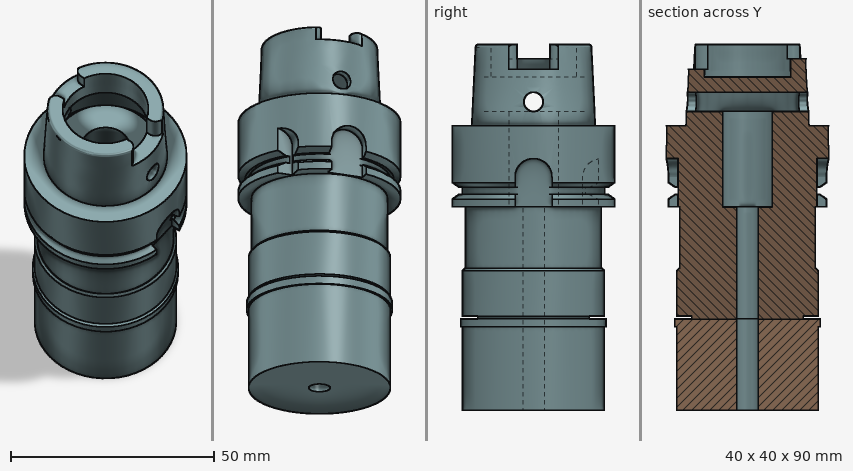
import cadquery as cq
import math

TOTAL_LENGTH = 90.0
COVER_TOP = 22.5
NECK_TOP = 23.2
COLLAR_TOP = 35.0
FLANGE_BOTTOM = 50.0
FLANGE_TOP = 70.0

SLEEVE_RADIUS = 17.5
COVER_RING_RADIUS = 17.9
COVER_RING_HEIGHT = 2.0

NECK_RADIUS = 13.8
SHAFT_RADIUS = 16.7
COLLAR_CHAMFER = 0.6
FLANGE_RADIUS = 20.0
TAPER_BASE_RADIUS = 15.2
TAPER_RATIO = 0.048
RIM_FILLET = 0.8

GROOVE_MIDDLE = 54.0
GROOVE_FLOOR_WIDTH = 1.8
GROOVE_MOUTH_WIDTH = 4.05
GROOVE_RADIUS = 17.55
GROOVE_CONE_RADIUS = 18.4

THROUGH_RADIUS = 2.6
COUNTERBORE_RADIUS = 6.0
COUNTERBORE_BOTTOM = 50.0
CLAMP_BORE_RADIUS = 10.5
CLAMP_BORE_DEPTH = 8.0
UNDERCUT_RADIUS = 12.8
CLAMP_FLOOR = 73.5

DRIVE_SLOT_WIDTH = 8.0
DRIVE_CORNER_RADIUS = 2.1
DRIVE_CORNER_END = 12.9
LEFT_DRIVE_DEPTH = 3.5
RIGHT_DRIVE_DEPTH = 6.1

CROSS_HOLE_RADIUS = 2.3
CROSS_HOLE_HEIGHT = 75.9

KEYWAY_RADIUS = 4.545
KEYWAY_TOP = 61.9
KEYWAY_FLOOR = 17.1
NOTCH_FLOOR = 12.15
NOTCH_CENTRE = 16.6


HALF_SECTION = cq.Plane(origin=(0, 0, 0), xDir=(0, -1, 0), normal=(-1, 0, 0))


def revolve_section(outline):
    """Turn a closed (radius, height) outline about the Z axis."""
    return cq.Workplane(HALF_SECTION).polyline(outline).close().revolve(360, (0, 0), (0, 1))


def make_cover():
    ring_bottom = COVER_TOP - COVER_RING_HEIGHT
    outline = [
        (THROUGH_RADIUS, 0),
        (SLEEVE_RADIUS, 0),
        (SLEEVE_RADIUS, ring_bottom),
        (COVER_RING_RADIUS, ring_bottom),
        (COVER_RING_RADIUS, COVER_TOP),
        (THROUGH_RADIUS, COVER_TOP),
    ]
    return revolve_section(outline)


def make_holder_blank():
    groove_floor_bottom = GROOVE_MIDDLE - GROOVE_FLOOR_WIDTH / 2
    groove_floor_top = GROOVE_MIDDLE + GROOVE_FLOOR_WIDTH / 2
    groove_mouth_bottom = GROOVE_MIDDLE - GROOVE_MOUTH_WIDTH / 2
    groove_mouth_top = GROOVE_MIDDLE + GROOVE_MOUTH_WIDTH / 2
    rim_radius = TAPER_BASE_RADIUS - TAPER_RATIO * (TOTAL_LENGTH - FLANGE_TOP)
    outline = [
        (0, COVER_TOP),
        (NECK_RADIUS, COVER_TOP),
        (NECK_RADIUS, NECK_TOP),
        (SLEEVE_RADIUS, NECK_TOP),
        (SLEEVE_RADIUS, COLLAR_TOP - COLLAR_CHAMFER),
        (SLEEVE_RADIUS - COLLAR_CHAMFER, COLLAR_TOP),
        (SHAFT_RADIUS, COLLAR_TOP),
        (SHAFT_RADIUS, FLANGE_BOTTOM),
        (FLANGE_RADIUS, FLANGE_BOTTOM),
        (FLANGE_RADIUS, groove_mouth_bottom),
        (GROOVE_CONE_RADIUS, groove_floor_bottom),
        (GROOVE_RADIUS, groove_floor_bottom),
        (GROOVE_RADIUS, groove_floor_top),
        (GROOVE_CONE_RADIUS, groove_floor_top),
        (FLANGE_RADIUS, groove_mouth_top),
        (FLANGE_RADIUS, FLANGE_TOP),
        (TAPER_BASE_RADIUS, FLANGE_TOP),
        (rim_radius, TOTAL_LENGTH),
        (0, TOTAL_LENGTH),
    ]
    return revolve_section(outline).faces(">Z").edges().fillet(RIM_FILLET)


def make_holder_bore():
    undercut_top = TOTAL_LENGTH - CLAMP_BORE_DEPTH
    outline = [
        (0, COVER_TOP),
        (THROUGH_RADIUS, COVER_TOP),
        (THROUGH_RADIUS, COUNTERBORE_BOTTOM),
        (COUNTERBORE_RADIUS, COUNTERBORE_BOTTOM),
        (COUNTERBORE_RADIUS, CLAMP_FLOOR),
        (UNDERCUT_RADIUS, CLAMP_FLOOR),
        (UNDERCUT_RADIUS, undercut_top),
        (CLAMP_BORE_RADIUS, undercut_top),
        (CLAMP_BORE_RADIUS, TOTAL_LENGTH),
        (0, TOTAL_LENGTH),
    ]
    return revolve_section(outline)


def make_drive_slot(side, depth):
    """Slot through the rim wall on one side (-1 or +1 along X), widened outward by rounded corners."""
    half_width = DRIVE_SLOT_WIDTH / 2
    wide_half_width = half_width + DRIVE_CORNER_RADIUS
    corner_start = DRIVE_CORNER_END - DRIVE_CORNER_RADIUS
    arc_middle_x = corner_start + DRIVE_CORNER_RADIUS * math.sin(math.pi / 4)
    arc_middle_y = wide_half_width - DRIVE_CORNER_RADIUS * math.cos(math.pi / 4)
    return (
        cq.Workplane("XY")
        .workplane(offset=TOTAL_LENGTH - depth)
        .moveTo(0, -half_width)
        .lineTo(side * corner_start, -half_width)
        .threePointArc((side * arc_middle_x, -arc_middle_y), (side * DRIVE_CORNER_END, -wide_half_width))
        .lineTo(side * FLANGE_RADIUS, -wide_half_width)
        .lineTo(side * FLANGE_RADIUS, wide_half_width)
        .lineTo(side * DRIVE_CORNER_END, wide_half_width)
        .threePointArc((side * arc_middle_x, arc_middle_y), (side * corner_start, half_width))
        .lineTo(0, half_width)
        .close()
        .extrude(depth)
    )


def make_keyway(side, floor, centre_y):
    """Round-topped slot open at the flange bottom, with a flat floor facing along X."""
    centre_z = KEYWAY_TOP - KEYWAY_RADIUS
    tool = (
        cq.Workplane("YZ")
        .moveTo(centre_y - KEYWAY_RADIUS, FLANGE_BOTTOM)
        .lineTo(centre_y + KEYWAY_RADIUS, FLANGE_BOTTOM)
        .lineTo(centre_y + KEYWAY_RADIUS, centre_z)
        .threePointArc((centre_y, KEYWAY_TOP), (centre_y - KEYWAY_RADIUS, centre_z))
        .close()
        .extrude(side * (FLANGE_RADIUS - floor))
    )
    return tool.translate((side * floor, 0, 0))


def make_cross_hole():
    return (
        cq.Workplane("YZ")
        .workplane(offset=-FLANGE_RADIUS)
        .center(0, CROSS_HOLE_HEIGHT)
        .circle(CROSS_HOLE_RADIUS)
        .extrude(2 * FLANGE_RADIUS)
    )


def make_holder():
    holder = make_holder_blank().cut(make_holder_bore())
    holder = holder.cut(make_drive_slot(-1, LEFT_DRIVE_DEPTH))
    holder = holder.cut(make_drive_slot(1, RIGHT_DRIVE_DEPTH))
    holder = holder.cut(make_cross_hole())
    for side in (-1, 1):
        holder = holder.cut(make_keyway(side, KEYWAY_FLOOR, 0))
    return holder.cut(make_keyway(-1, NOTCH_FLOOR, NOTCH_CENTRE))


cover = make_cover()
holder = make_holder()

result = cq.Compound.makeCompound([cover.val(), holder.val()])